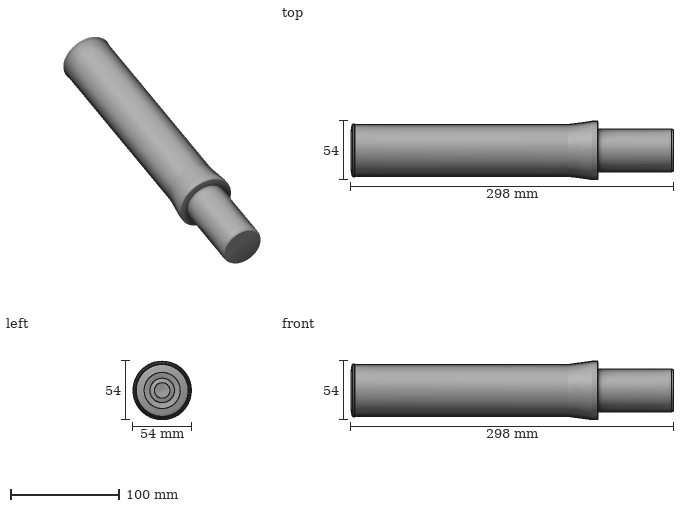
import cadquery as cq

total_length = 298.0

barrel_radius = 48.0 / 2
collar_radius = 54.0 / 2
bead_height = 0.5
bead_crest = 3.0
bead_end = 4.0
flare_start = 201.0
collar_start = 223.0
can_end = 228.3
collar_chamfer = 0.5

outer_crest_radius = 16.7
valley_radius = 11.3
inner_crest_radius = 7.2
corrugation_depth = 1.0
rim_radius = 22.0
rim_bevel = 0.5

spigot_radius = 40.0 / 2
tip_radius = 39.5 / 2
root_depth = 0.3
root_length = 1.2
tip_length = 4.5
tip_taper = 1.0
tip_chamfer_length = 1.8
tip_chamfer_depth = 1.0


def revolve_about_x(points):
    """Turn a half profile of (X, radius) points into a solid around the X axis."""
    return cq.Workplane("XZ").polyline(points).close().revolve(360, (0, 0, 0), (1, 0, 0))


def make_can():
    bead_start = corrugation_depth + rim_bevel
    corrugated_end = [
        (corrugation_depth, 0),
        (0, inner_crest_radius),
        (corrugation_depth, valley_radius),
        (0, outer_crest_radius),
        (corrugation_depth, rim_radius),
    ]
    bead = [
        (bead_start, barrel_radius),
        (bead_crest, barrel_radius + bead_height),
        (bead_end, barrel_radius),
    ]
    flared_collar = [
        (flare_start, barrel_radius),
        (collar_start, collar_radius),
        (can_end - collar_chamfer, collar_radius),
        (can_end, collar_radius - collar_chamfer),
        (can_end, 0),
    ]
    return revolve_about_x(corrugated_end + bead + flared_collar)


def make_spigot():
    tip_start = total_length - tip_length
    return revolve_about_x([
        (can_end, 0),
        (can_end, spigot_radius - root_depth),
        (can_end + root_length, spigot_radius),
        (tip_start, spigot_radius),
        (tip_start + tip_taper, tip_radius),
        (total_length - tip_chamfer_length, tip_radius),
        (total_length, tip_radius - tip_chamfer_depth),
        (total_length, 0),
    ])


can = make_can()
spigot = make_spigot()
result = cq.Compound.makeCompound([can.val(), spigot.val()])